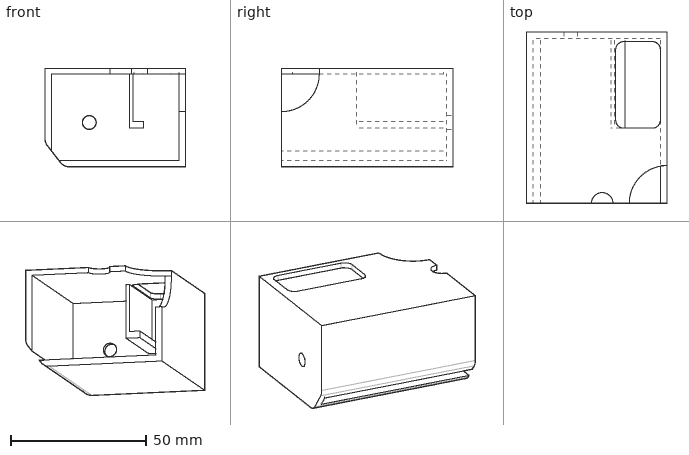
import cadquery as cq

width = 52.0
depth = 63.4
height = 36.4
wall = 2.4
top_wall = 2.0

bevel_width = 7.0
bevel_height = 9.0
bevel_blend_radius = 4.0

inner_right = width - wall
inner_back = depth - wall
inner_top = height - top_wall

window_width = 16.5
window_length = 32.0
window_corner_radius = 3.0
window_side_margin = 2.5
window_back_margin = 3.6
window_right = width - window_side_margin
window_back = depth - window_back_margin
window_left = window_right - window_width
window_front = window_back - window_length

ledge_left = 31.2
ledge_web_thickness = 1.3
ledge_foot_width = 5.2
ledge_foot_thickness = 2.5
ledge_bottom = 14.3

hole_diameter = 5.0
hole_x = 16.4
hole_z = 16.4

notch_radius = 4.0
notch_x = 28.0
corner_cut_radius = 14.0


def box(x_range, y_range, z_range):
    """Axis-aligned box between the given (low, high) limits."""
    sizes = [high - low for low, high in (x_range, y_range, z_range)]
    corner = (x_range[0], y_range[0], z_range[0])
    return cq.Workplane("XY").box(*sizes, centered=False).translate(corner)


def make_shell():
    """Bevelled block hollowed out from the open end."""
    outline = [
        (bevel_width, 0),
        (width, 0),
        (width, height),
        (0, height),
        (0, bevel_height),
    ]
    block = cq.Workplane("XZ").polyline(outline).close().extrude(-depth)
    bevel_edges = block.edges("|Y").edges("not (>X or >Z)")
    block = bevel_edges.fillet(bevel_blend_radius)
    cavity = box((wall, inner_right), (0, inner_back), (wall, inner_top))
    return block.cut(cavity)


def make_window():
    """Rounded opening through the top wall."""
    window = box((window_left, window_right), (window_front, window_back), (inner_top, height))
    return window.edges("|Z").fillet(window_corner_radius)


def make_ledge():
    """L-section ledge joined to the top and back walls, as long as the window reaches."""
    web_right = ledge_left + ledge_web_thickness
    foot_right = ledge_left + ledge_foot_width
    foot_top = ledge_bottom + ledge_foot_thickness
    section = [
        (ledge_left, ledge_bottom),
        (foot_right, ledge_bottom),
        (foot_right, foot_top),
        (web_right, foot_top),
        (web_right, inner_top),
        (ledge_left, inner_top),
    ]
    ledge = cq.Workplane("XZ").polyline(section).close().extrude(window_front - inner_back)
    return ledge.translate((0, window_front, 0))


def make_back_hole():
    """Round hole through the back wall."""
    plane = cq.Workplane("XZ", origin=(hole_x, inner_back, hole_z))
    return plane.circle(hole_diameter / 2).extrude(-wall)


def make_top_cut(x, radius):
    """Round cut through the top wall, centred on its front edge."""
    return cq.Workplane("XY", origin=(x, 0, inner_top)).circle(radius).extrude(top_wall)


def make_side_cut():
    """Quarter-round cut through the right wall, hanging from the underside of the top wall."""
    plane = cq.Workplane("YZ", origin=(inner_right, 0, inner_top))
    cylinder = plane.circle(corner_cut_radius).extrude(wall)
    below_top = box((inner_right, width), (0, corner_cut_radius), (0, inner_top))
    return cylinder.intersect(below_top)


result = (
    make_shell()
    .union(make_ledge())
    .cut(make_window())
    .cut(make_back_hole())
    .cut(make_top_cut(notch_x, notch_radius))
    .cut(make_top_cut(width, corner_cut_radius))
    .cut(make_side_cut())
)